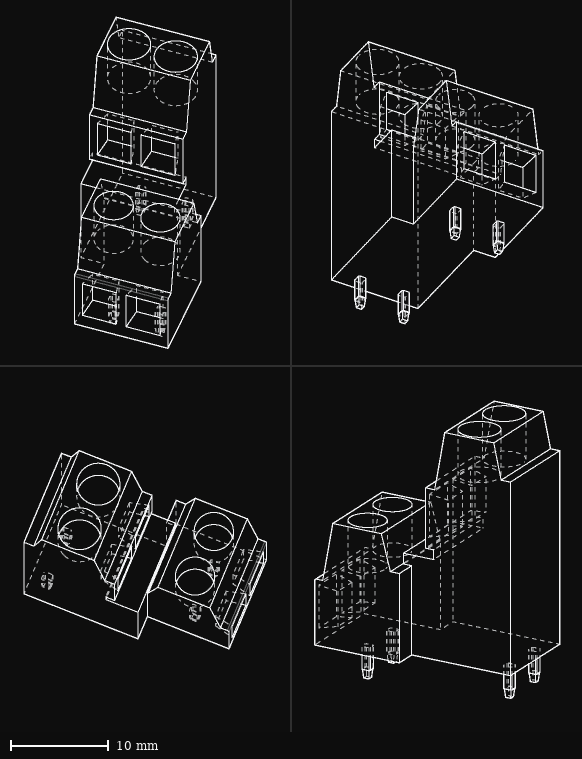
import cadquery as cq


pitch = 5.08
block_width = 2 * pitch
lower_block_x = pitch / 2
housing_depth = 21.6
housing_height = 25.2
total_height = 28.7

upper_ledge_y = 20.52
upper_ledge_z = 21.27
upper_head_back_y = 19.65
upper_head_front_y = 13.85
upper_slope_foot_y = 12.69
upper_lip_top_z = 18.68
upper_face_y = 11.6
upper_lip_bottom_z = 12.05
undercut_y = 12.57
shelf_z = 11.0
shelf_front_y = 9.0

lower_back_y = 10.0
lower_ledge_z = 9.82
lower_ledge_y = 8.93
lower_head_back_y = 7.85
lower_head_front_y = 2.12
lower_head_z = 13.78
lower_slope_foot_y = 0.95
lower_lip_top_z = 7.3
lip_edge_radius = 0.2

screw_hole_depth = 5.0
upper_hole_diameter = 4.42
upper_hole_y = 16.5
lower_hole_diameter = 4.02
lower_hole_y = 4.8

pocket_spacing = 4.75
pocket_width = 3.67
pocket_height = 4.68
pocket_inset = 0.4
pocket_depth = 2.0
upper_pocket_z = 13.0
lower_pocket_z = 1.6

pin_length = total_height - housing_height
pin_width = 0.9
pin_depth = 1.0
pin_edge_chamfer = 0.11
pin_tip_length = 0.98
pin_tip_root = 0.8
pin_tip_end = 0.6
upper_pin_y = 20.05
lower_pin_y = lower_hole_y


def block(profile, left_x):
    """Extrude a (Y, Z) side profile over the width of a block."""
    return cq.Workplane("YZ", origin=(left_x, 0, 0)).polyline(profile).close().extrude(block_width)


def upper_block():
    return block(
        [
            (shelf_front_y, 0),
            (housing_depth, 0),
            (housing_depth, upper_ledge_z),
            (upper_ledge_y, upper_ledge_z),
            (upper_head_back_y, housing_height),
            (upper_head_front_y, housing_height),
            (upper_slope_foot_y, upper_lip_top_z),
            (upper_face_y, upper_lip_top_z),
            (upper_face_y, upper_lip_bottom_z),
            (undercut_y, upper_lip_bottom_z),
            (undercut_y, shelf_z),
            (shelf_front_y, shelf_z),
        ],
        0,
    )


def lower_block():
    body = block(
        [
            (0, 0),
            (lower_back_y, 0),
            (lower_back_y, lower_ledge_z),
            (lower_ledge_y, lower_ledge_z),
            (lower_head_back_y, lower_head_z),
            (lower_head_front_y, lower_head_z),
            (lower_slope_foot_y, lower_lip_top_z),
            (0, lower_lip_top_z),
        ],
        lower_block_x,
    )
    return body.faces("<Y").edges(">Z").fillet(lip_edge_radius)


def pole_positions(left_x):
    """X positions of the two poles of a block."""
    return [left_x + pitch / 2, left_x + 3 * pitch / 2]


def screw_holes(left_x, y, top_z, diameter):
    return (
        cq.Workplane("XY", origin=(0, 0, top_z))
        .pushPoints([(x, y) for x in pole_positions(left_x)])
        .circle(diameter / 2)
        .extrude(-screw_hole_depth)
    )


def wire_pocket(center_x, face_y, bottom_z):
    """Rectangular pocket that narrows from its mouth in the front face to its floor."""
    return (
        cq.Workplane("XZ", origin=(center_x, face_y, bottom_z + pocket_height / 2))
        .rect(pocket_width, pocket_height)
        .workplane(offset=-pocket_depth)
        .rect(pocket_width - 2 * pocket_inset, pocket_height - 2 * pocket_inset)
        .loft(ruled=True)
    )


def make_housing():
    body = upper_block().union(lower_block())
    body = body.cut(screw_holes(0, upper_hole_y, housing_height, upper_hole_diameter))
    body = body.cut(screw_holes(lower_block_x, lower_hole_y, lower_head_z, lower_hole_diameter))
    for left_x, face_y, bottom_z in [
        (0, upper_face_y, upper_pocket_z),
        (lower_block_x, 0, lower_pocket_z),
    ]:
        for side in (-1, 1):
            center_x = left_x + (block_width + side * pocket_spacing) / 2
            body = body.cut(wire_pocket(center_x, face_y, bottom_z))
    return body


def make_pin(x, y):
    """Chamfered rectangular shank with a narrower tapered square tip, hanging from the underside."""
    shank_length = pin_length - pin_tip_length
    shank = (
        cq.Workplane("XY", origin=(x, y, 0))
        .rect(pin_width, pin_depth)
        .extrude(-shank_length)
        .edges("|Z")
        .chamfer(pin_edge_chamfer)
    )
    tip = (
        cq.Workplane("XY", origin=(x, y, -shank_length))
        .rect(pin_tip_root, pin_tip_root)
        .workplane(offset=-pin_tip_length)
        .rect(pin_tip_end, pin_tip_end)
        .loft(ruled=True)
    )
    return shank.union(tip)


housing = make_housing()
pins = []
for block_x, pin_y in [(0, upper_pin_y), (lower_block_x, lower_pin_y)]:
    for pin_x in pole_positions(block_x):
        pins.append(make_pin(pin_x, pin_y).solids().val())

result = cq.Compound.makeCompound([housing.solids().val(), *pins])